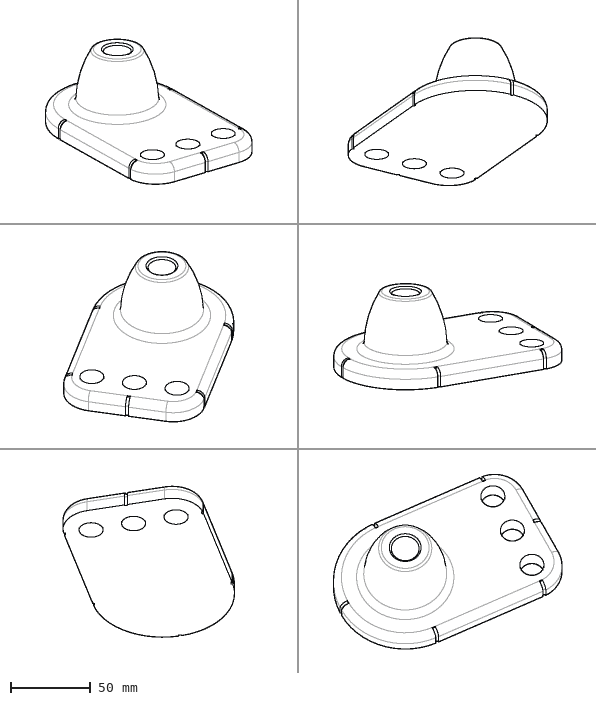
import cadquery as cq
import math

length = 140.0
width = 90.0
height = 50.0
plate_thickness = 12.0
nose_radius = width / 2
end_x = length - nose_radius
corner_radius = 20.0
corner_x = end_x - corner_radius
plate_edge_fillet = 5.0

dome_max_radius = 26.0
dome_arc_radius = 70.0
dome_arc_center_z = 14.0
dome_base_fillet = 4.5
dome_rim_fillet = 2.0

bore_radius = 8.7
bore_chamfer = 1.3
bore_depth = height - plate_thickness

hole_diameter = 15.0
hole_spacing = 27.5

groove_radius = 1.0


def dome_radius_at(z):
    """Radius of the dome flank at height z."""
    rise = z - dome_arc_center_z
    return dome_max_radius - dome_arc_radius + math.sqrt(dome_arc_radius**2 - rise**2)


def make_plate():
    outline = (
        cq.Workplane("XY")
        .moveTo(0, nose_radius)
        .threePointArc((-nose_radius, 0), (0, -nose_radius))
        .lineTo(end_x, -nose_radius)
        .lineTo(end_x, nose_radius)
        .close()
    )
    plate = outline.extrude(plate_thickness)
    plate = plate.edges("|Z and >X").fillet(corner_radius)
    return plate.faces(">Z").edges().fillet(plate_edge_fillet)


def make_dome():
    middle_z = (plate_thickness + height) / 2
    dome = (
        cq.Workplane("XZ")
        .moveTo(0, 0)
        .lineTo(dome_radius_at(plate_thickness), 0)
        .lineTo(dome_radius_at(plate_thickness), plate_thickness)
        .threePointArc((dome_radius_at(middle_z), middle_z), (dome_radius_at(height), height))
        .lineTo(0, height)
        .close()
        .revolve(360, (0, 0), (0, 1))
    )
    return dome.faces(">Z").edges().fillet(dome_rim_fillet)


def make_bore():
    bore = cq.Workplane("XY").workplane(offset=height - bore_depth).circle(bore_radius).extrude(bore_depth)
    mouth = cq.Solid.makeCone(
        bore_radius,
        bore_radius + bore_chamfer,
        bore_chamfer,
        pnt=cq.Vector(0, 0, height - bore_chamfer),
    )
    return bore.union(cq.Workplane(mouth))


def make_groove(x, y, outward_angle):
    """Groove cutter following the plate edge at (x, y), facing outward_angle in degrees."""
    fillet_bottom_z = plate_thickness - plate_edge_fillet
    diagonal = plate_edge_fillet * math.sqrt(0.5)
    path = (
        cq.Workplane("XZ")
        .lineTo(0, fillet_bottom_z)
        .threePointArc(
            (diagonal - plate_edge_fillet, fillet_bottom_z + diagonal),
            (-plate_edge_fillet, plate_thickness),
        )
    )
    cutter = cq.Workplane("XY").circle(groove_radius).sweep(path)
    return cutter.rotate((0, 0, 0), (0, 0, 1), outward_angle).translate((x, y, 0))


dome_joint = cq.selectors.NearestToPointSelector((0, 0, plate_thickness))

result = make_plate().union(make_dome())
result = result.edges(dome_joint).fillet(dome_base_fillet)
result = result.cut(make_bore())

result = result.cut(
    cq.Workplane("XY")
    .pushPoints([(corner_x, step * hole_spacing) for step in (-1, 0, 1)])
    .circle(hole_diameter / 2)
    .extrude(plate_thickness)
)

groove_places = [(-nose_radius, 0, 180), (end_x, 0, 0)]
for groove_x in (0, corner_x):
    groove_places += [(groove_x, nose_radius, 90), (groove_x, -nose_radius, -90)]
for place in groove_places:
    result = result.cut(make_groove(*place))